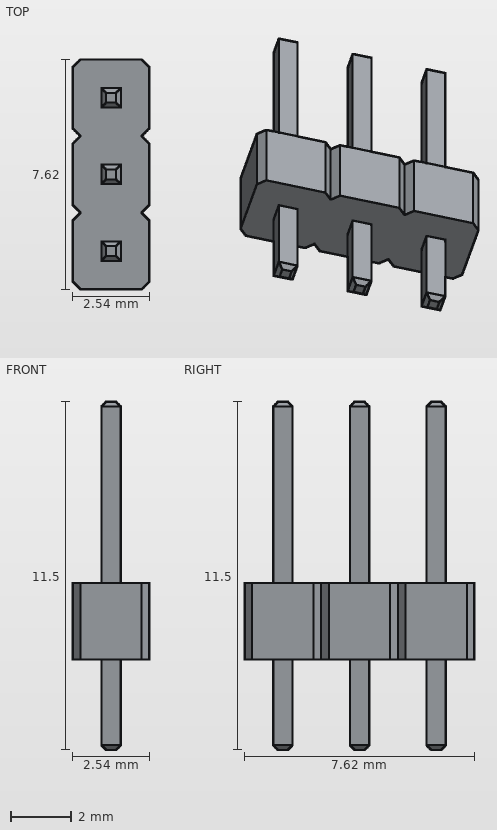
import cadquery as cq

pin_count = 3
pitch = 2.54
body_height = 2.54
corner_cut = 0.25
pin_width = 0.65
pin_below = 3.0
pin_above = 6.0
tip_chamfer = 0.16

pin_length = pin_below + body_height + pin_above
pin_positions = [(i - (pin_count - 1) / 2) * pitch for i in range(pin_count)]


def housing_cell(y):
    """One square cell of the housing with its four vertical edges cut off."""
    cell = cq.Workplane("XY").box(pitch, pitch, body_height, centered=(True, True, False))
    return cell.edges("|Z").chamfer(corner_cut).translate((0, y, 0))


def pin(y):
    """One square pin with chamfered tips at both ends."""
    post = cq.Workplane("XY").box(pin_width, pin_width, pin_length, centered=(True, True, False))
    return post.faces("<Z or >Z").chamfer(tip_chamfer).translate((0, y, -pin_below))


result = housing_cell(pin_positions[0])
for y in pin_positions[1:]:
    result = result.union(housing_cell(y))

for y in pin_positions:
    result = result.union(pin(y))

result = result.clean()